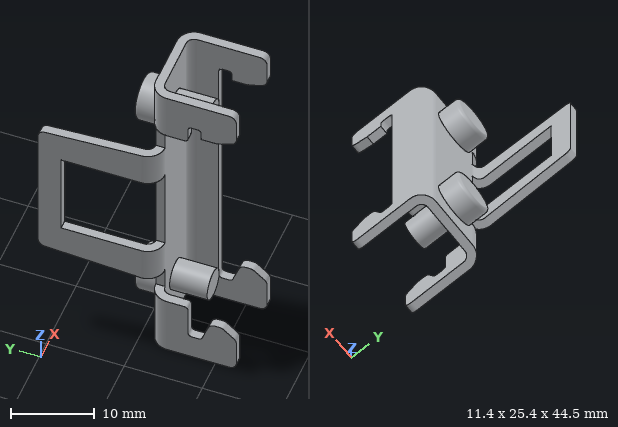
import cadquery as cq
import math

WIDTH = 11.4
HEIGHT = 44.5
SHEET = 1.2
BEND_INNER = 1.02
BEND_OUTER = BEND_INNER + SHEET

FLANGE_DEPTH = 11.15
STRIP_DEPTH = 5.0
CORNER_RADIUS = 1.0
NOTCH_RADIUS = 0.5
NOTCH_WIDTH = 1.7

UPPER_NOTCH_DROP = 4.0
UPPER_LIP_DROP = 5.5
UPPER_LIP_FLAT = 2.1
UPPER_LIP_ANGLE = 20.0

LOWER_NOTCH_RISE = 3.5
LOWER_PEAK_RISE = 6.6
LOWER_PEAK_INNER_DEPTH = 7.8
LOWER_PEAK_OUTER_DEPTH = 9.3
LOWER_INNER_ANGLE = 20.0
LOWER_OUTER_ANGLE = 40.0

UPPER_HOOK_HEIGHT = 6.6
LOWER_HOOK_HEIGHT = 8.5

HANDLE_REACH = 14.25
HANDLE_ROOT_HEIGHT = 21.63
HANDLE_END_HEIGHT = 20.1
WINDOW_HEIGHT = 12.0
WINDOW_REACH = 11.25

PIN_SPACING = 30.0
SHANK_DIAMETER = 4.0
SHANK_LENGTH = 6.0
HEAD_DIAMETER = 6.0
HEAD_HEIGHT = 3.0
HEAD_ROUND = 0.5

LEFT = -WIDTH / 2
TOP = HEIGHT / 2
BOTTOM = -HEIGHT / 2
WEB_EDGE = LEFT + BEND_OUTER


def slope(degrees):
    return math.tan(math.radians(degrees))


def rounded_outline(plane, corners):
    """Closed outline through (u, v, radius) corners, with a tangent arc where the radius is not zero."""
    path = cq.Workplane(plane)
    started = False
    for i, (u, v, radius) in enumerate(corners):
        point = cq.Vector(u, v)
        stops = [point]
        if radius > 0:
            before = cq.Vector(*corners[i - 1][:2])
            after = cq.Vector(*corners[(i + 1) % len(corners)][:2])
            back = (before - point).normalized()
            ahead = (after - point).normalized()
            half_angle = back.getAngle(ahead) / 2
            setback = radius / math.tan(half_angle)
            bisector = (back + ahead).normalized()
            crown = point + bisector * (radius / math.sin(half_angle) - radius)
            stops = [point + back * setback, crown, point + ahead * setback]
        start = stops[0].toTuple()[:2]
        path = path.lineTo(*start) if started else path.moveTo(*start)
        started = True
        if radius > 0:
            path = path.threePointArc(stops[1].toTuple()[:2], stops[2].toTuple()[:2])
    return path.close()


def channel():
    """U-shaped channel of full height, open towards -Y."""
    right = -LEFT
    corners = [
        (LEFT, -FLANGE_DEPTH, 0),
        (LEFT, 0, BEND_OUTER),
        (right, 0, BEND_OUTER),
        (right, -FLANGE_DEPTH, 0),
        (right - SHEET, -FLANGE_DEPTH, 0),
        (right - SHEET, -SHEET, BEND_INNER),
        (LEFT + SHEET, -SHEET, BEND_INNER),
        (LEFT + SHEET, -FLANGE_DEPTH, 0),
    ]
    return rounded_outline("XY", corners).extrude(HEIGHT).translate((0, 0, BOTTOM))


def flange_silhouette():
    """Side silhouette with the hooks, extruded across the full width."""
    front = -FLANGE_DEPTH
    strip = -STRIP_DEPTH
    lip = strip - NOTCH_WIDTH

    upper_notch = TOP - UPPER_NOTCH_DROP
    upper_lip = TOP - UPPER_LIP_DROP
    upper_flat_end = lip - UPPER_LIP_FLAT
    upper_nose = upper_lip + (upper_flat_end - front) * slope(UPPER_LIP_ANGLE)

    lower_notch = BOTTOM + LOWER_NOTCH_RISE
    peak = BOTTOM + LOWER_PEAK_RISE
    inner_peak = -LOWER_PEAK_INNER_DEPTH
    outer_peak = -LOWER_PEAK_OUTER_DEPTH
    lower_notch_end = inner_peak + (peak - lower_notch) * slope(LOWER_INNER_ANGLE)
    lower_nose = peak - (outer_peak - front) * slope(LOWER_OUTER_ANGLE)

    corners = [
        (0, BOTTOM, 0),
        (0, TOP, 0),
        (front, TOP, CORNER_RADIUS),
        (front, upper_nose, CORNER_RADIUS),
        (upper_flat_end, upper_lip, 0),
        (lip, upper_lip, 0),
        (lip, upper_notch, NOTCH_RADIUS),
        (strip, upper_notch, NOTCH_RADIUS),
        (strip, lower_notch, NOTCH_RADIUS),
        (lower_notch_end, lower_notch, NOTCH_RADIUS),
        (inner_peak, peak, CORNER_RADIUS),
        (outer_peak, peak, CORNER_RADIUS),
        (front, lower_nose, CORNER_RADIUS),
        (front, BOTTOM, CORNER_RADIUS),
    ]
    return rounded_outline("YZ", corners).extrude(WIDTH / 2, both=True)


def open_left_flange(body):
    """Remove the -X flange strip and its bend between the hooks, and round the freed corners."""
    opening_top = TOP - UPPER_HOOK_HEIGHT
    opening_bottom = BOTTOM + LOWER_HOOK_HEIGHT
    opening = cq.Workplane("XY").box(
        BEND_OUTER, STRIP_DEPTH, opening_top - opening_bottom, centered=False
    ).translate((LEFT, -STRIP_DEPTH, opening_bottom))
    body = body.cut(opening)
    for z in (opening_top, opening_bottom):
        corner = (LEFT + SHEET / 2, -STRIP_DEPTH, z)
        body = body.edges(cq.selectors.NearestToPointSelector(corner)).fillet(NOTCH_RADIUS)
    return body


def handle():
    """Tapered frame behind the web, carried by two bent legs."""
    bend = (
        cq.Workplane("XY")
        .moveTo(WEB_EDGE, -SHEET)
        .radiusArc((LEFT, BEND_INNER), BEND_OUTER)
        .lineTo(LEFT, HANDLE_REACH)
        .lineTo(LEFT + SHEET, HANDLE_REACH)
        .lineTo(LEFT + SHEET, BEND_INNER)
        .radiusArc((WEB_EDGE, 0), -BEND_INNER)
        .close()
        .extrude(HANDLE_ROOT_HEIGHT / 2, both=True)
    )
    root = HANDLE_ROOT_HEIGHT / 2
    end = HANDLE_END_HEIGHT / 2
    corners = [
        (-SHEET, -root, 0),
        (BEND_INNER, -root, 0),
        (HANDLE_REACH, -end, CORNER_RADIUS),
        (HANDLE_REACH, end, CORNER_RADIUS),
        (BEND_INNER, root, 0),
        (-SHEET, root, 0),
    ]
    frame = rounded_outline("YZ", corners).extrude(WIDTH / 2, both=True)
    window = cq.Workplane("XY").box(
        WIDTH, WINDOW_REACH + SHEET, WINDOW_HEIGHT, centered=(True, False, True)
    ).translate((0, -SHEET, 0))
    return bend.intersect(frame).cut(window)


def pin(z):
    """Pin through the web: a round-edged head behind it and a plain shank in front."""
    base = cq.Workplane("XZ", origin=(0, 0, z))
    shank = base.circle(SHANK_DIAMETER / 2).extrude(SHANK_LENGTH)
    head = base.circle(HEAD_DIAMETER / 2).extrude(-HEAD_HEIGHT).faces(">Y").edges().fillet(HEAD_ROUND)
    return head.union(shank)


result = open_left_flange(channel().intersect(flange_silhouette())).union(handle())
for pin_z in (-PIN_SPACING / 2, PIN_SPACING / 2):
    result = result.union(pin(pin_z))